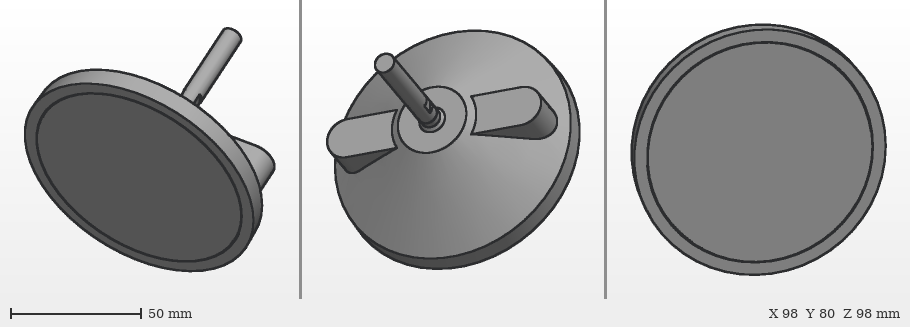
import cadquery as cq

plate_diameter = 98.0
rim_back_diameter = 97.2
rim_depth = 8.3
crown_diameter = 28.2
crown_y = 30.1

recess_diameter = 88.0
pad_diameter = 87.5
gap_depth = 2.0

lug_span = 88.2
lug_width = 16.5
lug_back_y = 28.0

flare_diameter = 10.6
collar_diameter = 7.8
collar_start_y = 31.6
stud_start_y = 35.1
stud_diameter = 8.0
stud_end_y = 80.0
flats_start_y = 40.1
flats_length = 5.9
flats_across = 6.2


def cylinder_along_y(diameter, start_y, end_y):
    return (
        cq.Workplane("XZ", origin=(0, start_y, 0))
        .circle(diameter / 2)
        .extrude(start_y - end_y)
    )


def turned_body():
    """Plate, cone, flared root, collar and stud in a single profile."""
    profile = [
        (0, 0),
        (plate_diameter / 2, 0),
        (rim_back_diameter / 2, rim_depth),
        (crown_diameter / 2, crown_y),
        (flare_diameter / 2, crown_y),
        (collar_diameter / 2, collar_start_y),
        (collar_diameter / 2, stud_start_y),
        (stud_diameter / 2, stud_start_y),
        (stud_diameter / 2, stud_end_y),
        (0, stud_end_y),
    ]
    return cq.Workplane("XY").polyline(profile).close().revolve(360, (0, 0), (0, 1))


def lugs():
    """One long rounded bar through the cone; its ends form the two lugs."""
    return (
        cq.Workplane("XZ", origin=(0, rim_depth, 0))
        .slot2D(lug_span, lug_width)
        .extrude(rim_depth - lug_back_y)
    )


def pad_gap():
    outer = cylinder_along_y(recess_diameter, 0, gap_depth)
    return outer.cut(cylinder_along_y(pad_diameter, 0, gap_depth))


def wrench_flats():
    """Material removed from the stud on its -X and +X sides."""
    flats_middle_y = flats_start_y + flats_length / 2
    sleeve = cq.Workplane("XY").box(2 * stud_diameter, flats_length, 2 * stud_diameter)
    core = cq.Workplane("XY").box(flats_across, flats_length, 2 * stud_diameter)
    return sleeve.cut(core).translate((0, flats_middle_y, 0))


result = turned_body().union(lugs()).cut(pad_gap()).cut(wrench_flats())